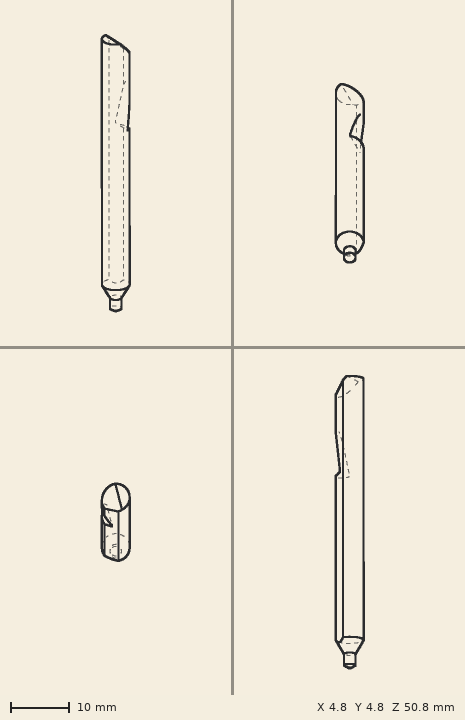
import cadquery as cq

total_length = 50.8
shaft_radius = 2.4
neck_radius = 1.0
point_height = 0.6
neck_top_z = 2.6
shoulder_top_z = 5.05

flat_direction = 145.0
flat_distance = 2.05

bevel_start_y = -0.5

ramp_top_z = 42.45
notch_root_z = 34.25
notch_root_y = 1.0
notch_bottom_z = 33.8
notch_root_radius = 0.3

cutter_size = 4 * shaft_radius


def make_turned_body():
    """Shaft, tapered shoulder, neck and conical point about the Z axis."""
    return (
        cq.Workplane("XZ")
        .lineTo(neck_radius, point_height)
        .lineTo(neck_radius, neck_top_z)
        .lineTo(shaft_radius, shoulder_top_z)
        .lineTo(shaft_radius, total_length)
        .lineTo(0, total_length)
        .close()
        .revolve(360, (0, 0, 0), (0, 1, 0))
    )


def make_side_cutter(points):
    """Prism through the full width in X from a list of (y, z) points."""
    return cq.Workplane("YZ").polyline(points).close().extrude(cutter_size / 2, both=True)


def make_flat_cutter():
    """Block whose inner face lies on the side flat."""
    return (
        cq.Workplane("XY")
        .box(cutter_size, cutter_size, total_length, centered=(False, True, False))
        .translate((flat_distance, 0, 0))
        .rotate((0, 0, 0), (0, 0, 1), flat_direction)
    )


def make_bevel_cutter():
    end_y = bevel_start_y + cutter_size
    return make_side_cutter([
        (bevel_start_y, total_length),
        (end_y, total_length - cutter_size),
        (end_y, total_length),
    ])


def make_notch_cutter():
    notch = make_side_cutter([
        (shaft_radius, ramp_top_z),
        (notch_root_y, notch_root_z),
        (shaft_radius, notch_bottom_z),
    ])
    return notch.edges("<Y").fillet(notch_root_radius)


result = (
    make_turned_body()
    .cut(make_flat_cutter())
    .cut(make_bevel_cutter())
    .cut(make_notch_cutter())
)